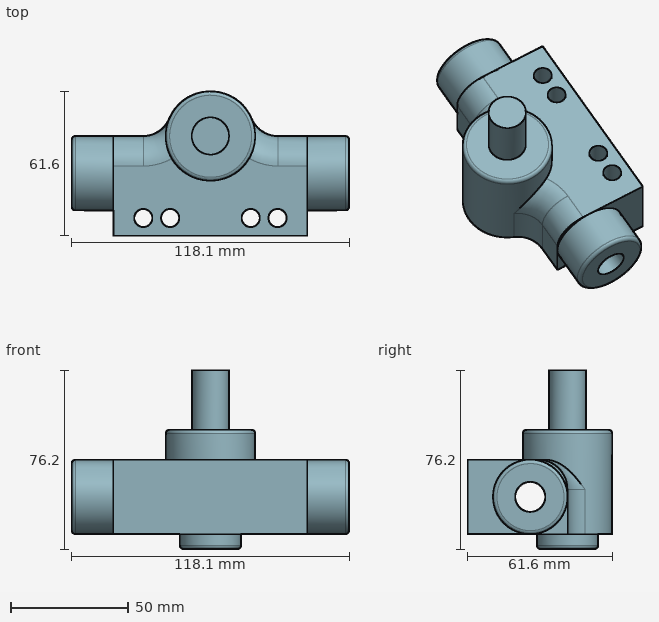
import cadquery as cq
import math

block_length = 82.55
block_depth = 42.545
block_height = 31.75
top_edge_radius = 12.7

housing_radius = 19.05
housing_height = 44.45
blend_radius = 12.065
shaft_diameter = 15.875
shaft_length = 25.4
plug_diameter = 26.162
plug_length = 6.35

overall_length = 118.11
boss_diameter = block_height
boss_axis_y = -boss_diameter / 2
boss_axis_z = block_height / 2
bore_diameter = 12.7

rim_radius = 1.5875

hole_diameter = 7.62
hole_y = -34.925
hole_outer_x = 28.575
hole_pitch = 11.43

blend_x = math.sqrt((housing_radius + blend_radius) ** 2 - blend_radius ** 2)
touch_ratio = housing_radius / (housing_radius + blend_radius)
touch_x = blend_x * touch_ratio
touch_y = blend_radius * touch_ratio


def make_block():
    """Block whose back face curves out to meet the housing on both sides."""
    half_length = block_length / 2
    half_turn = math.atan2(blend_x, blend_radius) / 2
    arc_x = blend_x - blend_radius * math.sin(half_turn)
    arc_y = blend_radius * (1 - math.cos(half_turn))
    return (
        cq.Workplane("XY")
        .moveTo(-half_length, -block_depth)
        .lineTo(half_length, -block_depth)
        .lineTo(half_length, 0)
        .lineTo(blend_x, 0)
        .threePointArc((arc_x, arc_y), (touch_x, touch_y))
        .lineTo(-touch_x, touch_y)
        .threePointArc((-arc_x, arc_y), (-blend_x, 0))
        .lineTo(-half_length, 0)
        .close()
        .extrude(block_height)
    )


def edge_section():
    """Corner left outside the edge rounding, in the plane where straight and blend arc meet."""
    corner_z = block_height - top_edge_radius
    diagonal = top_edge_radius * math.sqrt(0.5)
    return (
        cq.Workplane("YZ", origin=(-blend_x, 0, 0))
        .moveTo(0, corner_z)
        .lineTo(0, block_height)
        .lineTo(-top_edge_radius, block_height)
        .threePointArc((diagonal - top_edge_radius, corner_z + diagonal), (0, corner_z))
        .close()
    )


def make_edge_cutter():
    """Material outside the rounded top back edge, along the -X straight and blend arc."""
    straight = edge_section().extrude(blend_x - block_length / 2)
    sweep_angle = math.degrees(math.atan2(blend_x, blend_radius))
    curved = edge_section().revolve(sweep_angle, (blend_radius, 0, 0), (blend_radius, 1, 0))
    return straight.union(curved)


def make_upright():
    """Housing, shaft and plug stacked on the Z axis."""
    housing = cq.Workplane("XY").circle(housing_radius).extrude(housing_height)
    housing = housing.faces(">Z").edges().fillet(rim_radius)
    shaft = cq.Workplane("XY").circle(shaft_diameter / 2).extrude(housing_height + shaft_length)
    plug = cq.Workplane("XY").circle(plug_diameter / 2).extrude(-plug_length)
    plug = plug.faces("<Z").edges().fillet(rim_radius)
    return housing.union(shaft).union(plug)


def along_x(diameter):
    """Cylinder of the overall length on the boss axis."""
    start = cq.Workplane("YZ", origin=(-overall_length / 2, boss_axis_y, boss_axis_z))
    return start.circle(diameter / 2).extrude(overall_length)


def make_bosses():
    """Cylinder that sticks out of both ends of the block, with rounded rims."""
    full = along_x(boss_diameter).edges().fillet(rim_radius)
    inside_block = cq.Workplane("XY").box(block_length, 2 * block_depth, 2 * block_height)
    return full.cut(inside_block)


def make_mounting_holes():
    """Two pairs of vertical through holes."""
    hole_inner_x = hole_outer_x - hole_pitch
    centers = [(side * x, hole_y) for side in (-1, 1) for x in (hole_inner_x, hole_outer_x)]
    return cq.Workplane("XY").pushPoints(centers).circle(hole_diameter / 2).extrude(block_height)


edge_cutter = make_edge_cutter()
block = make_block().cut(edge_cutter).cut(edge_cutter.mirror("YZ"))
body = block.union(make_upright()).union(make_bosses())
result = body.cut(along_x(bore_diameter)).cut(make_mounting_holes())